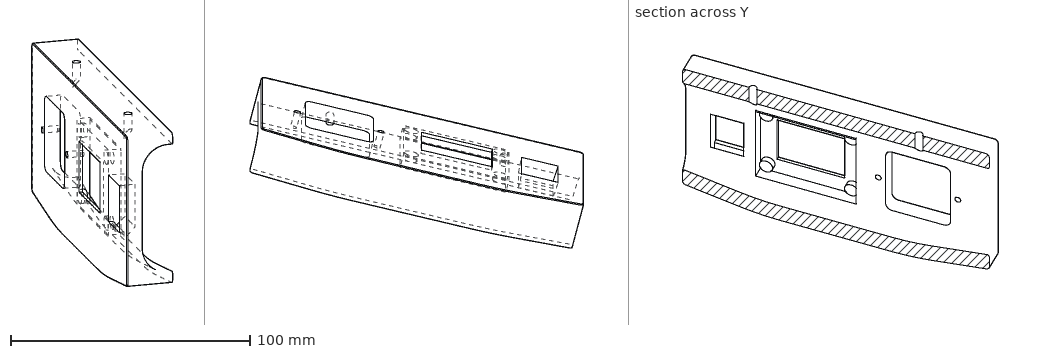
import cadquery as cq

width = 139.0
depth = 20.0
height = 71.0

side_drop = 5.4
slope_run = 35.0
slope_blend_radius = 120.0
corner_radius = 2.0
front_chamfer = 0.4

panel_thickness = 7.0
flange_thickness = 5.0
channel_radius = 11.0
mouth_radius = 1.0

opening_z = 37.1

socket_x = -35.9
socket_width = 29.3
socket_height = 33.1
socket_corner_radius = 3.0
socket_screw_diameter = 2.6
socket_screw_spacing = 36.0

display_x = 14.8
display_width = 30.5
display_height = 22.3
display_skin = 1.5
display_pocket_margin = 7.5
boss_diameter = 6.0
boss_length = 2.6
boss_offset_x = 4.0
boss_offset_z = 3.3

jack_x = 50.5
jack_z = 36.2
jack_width = 15.8
jack_height = 20.5
jack_lip = 2.0
jack_ramp_rise = 1.8
jack_side_taper = 0.4

mount_hole_diameter = 3.4
mount_hole_inset = 32.0

tolerance = 0.01


def slab(center_x, center_z, size_x, size_z, y_start, y_end):
    """Box spanning y_start to y_end, centred in X and Z."""
    box = cq.Workplane("XY").box(size_x, y_end - y_start, size_z)
    return box.translate((center_x, (y_start + y_end) / 2, center_z))


def rod(center_x, center_z, diameter, y_start, y_end):
    """Cylinder along Y."""
    plane = cq.Workplane("XZ", origin=(center_x, y_start, center_z))
    return plane.circle(diameter / 2).extrude(y_start - y_end)


def outline_prism(inset, blend_radius, y_start):
    """Prism of the outline, moved in by inset at top and bottom, from y_start to the back."""
    half = width / 2
    flat_half = half - slope_run
    outline = [
        (-half, height - inset),
        (half, height - inset),
        (half, side_drop + inset),
        (flat_half, inset),
        (-flat_half, inset),
        (-half, side_drop + inset),
    ]
    prism = cq.Workplane("XZ", origin=(0, y_start, 0)).polyline(outline).close().extrude(y_start - depth)
    return prism.edges("|Y").edges("<Z").fillet(blend_radius)


def make_body():
    """Solid block with rounded corners and a chamfer around the front face."""
    body = outline_prism(0, slope_blend_radius, 0)
    body = body.edges("|Y").edges("<X or >X").fillet(corner_radius)
    return body.faces("<Y").edges().chamfer(front_chamfer)


def make_channel():
    """Channel tool with its two long front edges rounded; it is as long as the body."""
    channel = outline_prism(flange_thickness, slope_blend_radius - flange_thickness, panel_thickness)
    long_edges = channel.faces("<Y").edges("not |Z")
    return channel.newObject(long_edges.vals()).fillet(channel_radius)


def round_channel_ends(body):
    """Round the channel's edges on both end faces."""
    lowest = side_drop + flange_thickness - tolerance
    highest = height - flange_thickness + tolerance

    def on_channel(edge):
        center = edge.Center()
        in_height = lowest < center.z < highest
        in_depth = panel_thickness - tolerance < center.y < depth - tolerance
        return in_height and in_depth

    ends = body.faces("<X or >X").edges().filter(on_channel)
    return ends.fillet(mouth_radius)


def cut_socket(body):
    """Round-cornered socket opening with a screw hole at each side."""
    opening = slab(socket_x, opening_z, socket_width, socket_height, 0, depth)
    body = body.cut(opening.edges("|Y").fillet(socket_corner_radius))
    for side in (-1, 1):
        hole_x = socket_x + side * socket_screw_spacing / 2
        body = body.cut(rod(hole_x, opening_z, socket_screw_diameter, 0, depth))
    return body


def cut_display(body):
    """Window in a thin skin, with a pocket and four bosses behind it."""
    pocket_width = display_width + 2 * display_pocket_margin
    pocket_height = display_height + 2 * display_pocket_margin
    body = body.cut(slab(display_x, opening_z, display_width, display_height, 0, depth))
    body = body.cut(slab(display_x, opening_z, pocket_width, pocket_height, display_skin, panel_thickness))
    for side_x in (-1, 1):
        for side_z in (-1, 1):
            boss_x = display_x + side_x * (display_width / 2 + boss_offset_x)
            boss_z = opening_z + side_z * (display_height / 2 + boss_offset_z)
            boss = rod(boss_x, boss_z, boss_diameter, display_skin / 2, display_skin + boss_length)
            body = body.union(boss)
    return body


def cut_jack(body):
    """Jack opening with a lip below and a ramped notch behind the lip."""
    low = jack_z - jack_height / 2
    high = jack_z + jack_height / 2
    ramp_run = panel_thickness - jack_lip
    profile = [
        (0, high),
        (0, low),
        (jack_lip, low),
        (jack_lip, low + jack_ramp_rise - ramp_run),
        (panel_thickness, low + jack_ramp_rise),
        (panel_thickness, high),
    ]
    tool = cq.Workplane("YZ").polyline(profile).close().extrude(jack_width / 2, both=True)
    half_front = jack_width / 2
    half_back = half_front - jack_side_taper
    plan = [
        (-half_front, 0),
        (half_front, 0),
        (half_back, panel_thickness),
        (-half_back, panel_thickness),
    ]
    tapered = cq.Workplane("XY").polyline(plan).close().extrude(height)
    return body.cut(tool.intersect(tapered).translate((jack_x, 0, 0)))


def cut_mount_holes(body):
    """Two upright holes through the top flange."""
    for side in (-1, 1):
        hole_x = side * (width / 2 - mount_hole_inset)
        plane = cq.Workplane("XY", origin=(hole_x, depth / 2, height / 2))
        body = body.cut(plane.circle(mount_hole_diameter / 2).extrude(height / 2))
    return body


body = make_body().cut(make_channel())
body = round_channel_ends(body)
body = cut_socket(body)
body = cut_display(body)
body = cut_jack(body)
result = cut_mount_holes(body)